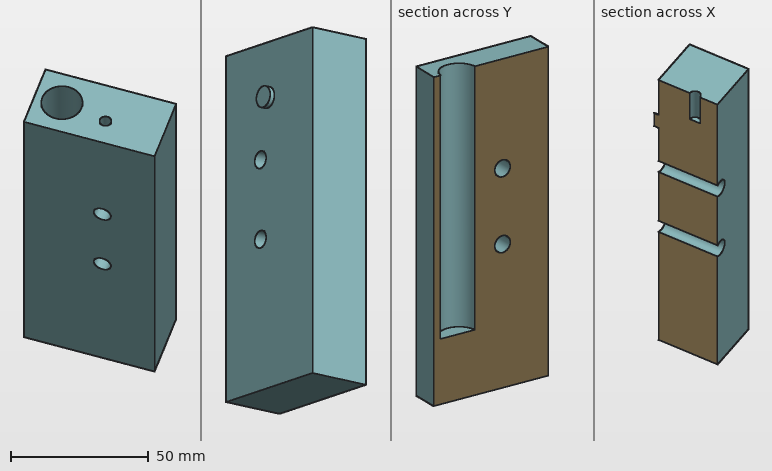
import cadquery as cq

width = 50.0
depth = 25.0
height = 130.5

cross_hole_diameter = 6.5
cross_hole_x = 30
cross_hole_heights = (57.0, 87.0)

large_bore_diameter = 15.0
large_bore_x = 10.5
large_bore_y = depth / 2
large_bore_depth = 104.4
small_bore_diameter = 4.3
small_bore_x = 28.0
small_bore_y = 9.5
small_bore_depth = 13

stud_diameter = 8.0
stud_length = 2.0
stud_x = 26.0
stud_z = 109.6


def cylinder_along_y(diameter, length, x, y, z):
    """Cylinder starting at (x, y, z) and extending toward +Y."""
    return cq.Workplane(
        cq.Plane(origin=(x, y, z), xDir=(1, 0, 0), normal=(0, 1, 0))
    ).circle(diameter / 2).extrude(length)


def top_bore(diameter, bore_depth, x, y):
    """Cutter for a flat-bottomed hole sunk from the top face."""
    return cq.Workplane("XY", origin=(x, y, height)).circle(diameter / 2).extrude(-bore_depth)


result = cq.Workplane("XY").box(width, depth, height, centered=False)

for hole_z in cross_hole_heights:
    result = result.cut(cylinder_along_y(cross_hole_diameter, depth, cross_hole_x, 0, hole_z))

result = result.cut(top_bore(large_bore_diameter, large_bore_depth, large_bore_x, large_bore_y))
result = result.cut(top_bore(small_bore_diameter, small_bore_depth, small_bore_x, small_bore_y))

result = result.union(cylinder_along_y(stud_diameter, stud_length, stud_x, depth, stud_z))